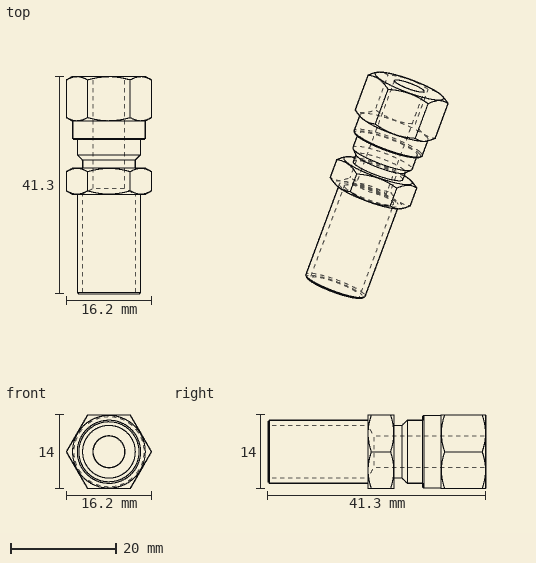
import cadquery as cq
import math


across_flats = 14.0
hex_face_diameter = 13.8
hex_chamfer_angle = 30.0

total_length = 41.32
nut_hex_length = 8.5
collar_length = 3.5
body_length = 3.9
neck_length = 1.5
body_hex_length = 5.0
bevel_length = 1.0

stub_diameter = 12.0
collar_diameter = 13.8
body_diameter = 12.0
neck_diameter = 10.0
stub_bore_diameter = 10.0
through_bore_diameter = 6.0

stub_end_chamfer = 0.3
collar_chamfer = 0.25
bore_cone_angle = 120.0

nut_start = total_length - nut_hex_length
collar_start = nut_start - collar_length
body_start = collar_start - body_length
neck_start = body_start - neck_length
body_hex_start = neck_start - body_hex_length


def cylinder(diameter, start, end):
    """Solid cylinder on the Y axis from y = start to y = end."""
    return cq.Workplane("XZ", origin=(0, end, 0)).circle(diameter / 2).extrude(end - start)


def revolve_profile(points):
    """Revolve a closed (radius, y) outline about the Y axis."""
    return cq.Workplane("XY").polyline(points).close().revolve(360, (0, 0, 0), (0, 1, 0))


def chamfered_hex(start, end):
    """Hexagonal prism whose corners are turned off conically at both ends."""
    corner_radius = across_flats / math.sqrt(3)
    face_radius = hex_face_diameter / 2
    rise = (corner_radius - face_radius) * math.tan(math.radians(hex_chamfer_angle))
    prism = (
        cq.Workplane("XZ", origin=(0, end, 0))
        .polygon(6, 2 * corner_radius)
        .extrude(end - start)
    )
    turned = revolve_profile([
        (0, start),
        (face_radius, start),
        (corner_radius, start + rise),
        (corner_radius, end - rise),
        (face_radius, end),
        (0, end),
    ])
    return prism.intersect(turned)


def tube_stub():
    """Plain tube with a chamfered open end."""
    stub = cylinder(stub_diameter, 0, body_hex_start)
    return stub.faces("<Y").chamfer(stub_end_chamfer)


def body_and_neck():
    """Body cylinder that bevels down to the narrower neck."""
    neck_radius = neck_diameter / 2
    body_radius = body_diameter / 2
    return revolve_profile([
        (0, neck_start),
        (neck_radius, neck_start),
        (neck_radius, body_start),
        (body_radius, body_start + bevel_length),
        (body_radius, collar_start),
        (0, collar_start),
    ])


def nut_collar():
    """Round collar of the nut with a chamfered outer edge."""
    collar = cylinder(collar_diameter, collar_start, nut_start)
    return collar.faces("<Y").chamfer(collar_chamfer)


def stepped_bore():
    """Wide stub bore narrowing through a cone to the bore that passes right through."""
    wide_radius = stub_bore_diameter / 2
    narrow_radius = through_bore_diameter / 2
    cone_length = (wide_radius - narrow_radius) / math.tan(math.radians(bore_cone_angle / 2))
    return revolve_profile([
        (0, 0),
        (wide_radius, 0),
        (wide_radius, body_hex_start),
        (narrow_radius, body_hex_start + cone_length),
        (narrow_radius, total_length),
        (0, total_length),
    ])


result = (
    tube_stub()
    .union(chamfered_hex(body_hex_start, neck_start))
    .union(body_and_neck())
    .union(nut_collar())
    .union(chamfered_hex(nut_start, total_length))
    .cut(stepped_bore())
)